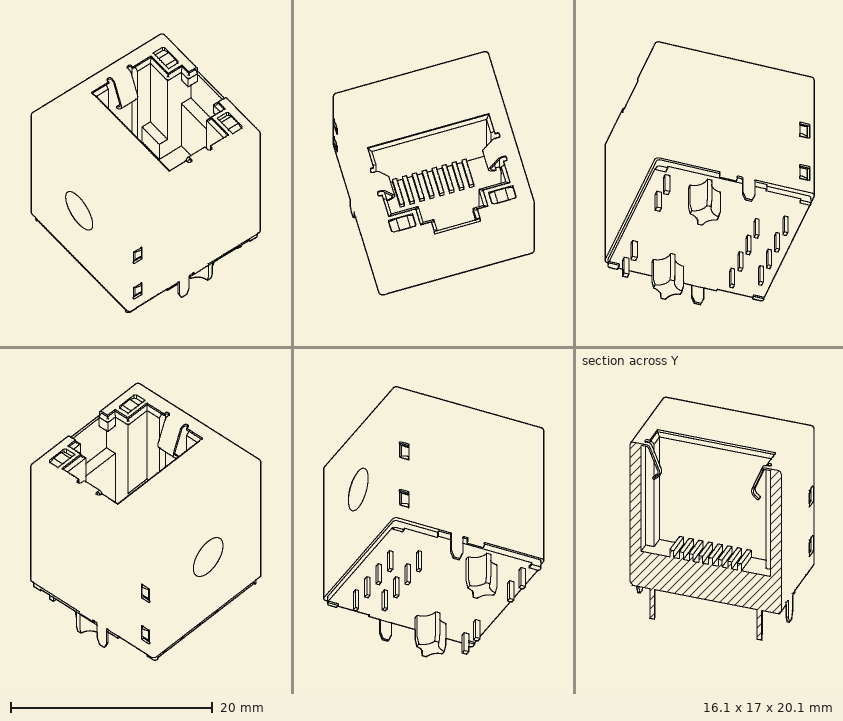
import cadquery as cq
import math


total_height = 20.07
shield_width = 16.05
shield_depth = 16.7
shield_bottom = 4.07
shield_edge_radius = 0.4
sheet = 0.25
half_width = shield_width / 2
half_depth = shield_depth / 2

bump_z = 12.36
bump_height = 0.26
bump_rim_radius = 2.19
bump_dome_radius = 2.07
bump_flat_radius = 1.36
bump_rim_rise = 0.06

base_bottom = 3.43
base_foot_bottom = 3.23
base_half_depth = half_depth - sheet
base_rear_half_width = half_width - sheet
base_front_half_width = 7.55
base_step_y = -3.35
base_corner_radius = 0.32
foot_inner_x = 7.15
foot_inner_y = 7.0

lead_in = 0.35
cavity_half_width = 5.92
cavity_front_y = -1.59
cavity_rear_y = 5.18
latch_half_width = 3.13
latch_rear_y = 6.9
notch_half_width = 2.03
notch_rear_y = 8.09
cavity_floor = 7.63
latch_chamber_floor = 14.45
latch_chamber_top = 18.26
rear_rim_top = 19.35
ledge_top = 10.04
ledge_front_y = 4.13

contact_count = 8
contact_pitch = 1.02
contact_width = 0.45
contact_rear_y = 1.15
contact_height = 0.8

spring_y = 1.73
spring_width = 2.05
relief_width = 0.48
relief_outer_x = 6.66
relief_corner_radius = 0.18
spring_fold_radius = 0.3
spring_lean = math.radians(22)
spring_slope_length = 2.6
spring_curl_radius = 0.7
spring_curl_exit = math.radians(50)
spring_end_length = 0.4
spring_pocket_length = 3.65
spring_pocket_outer_x = 6.82

window_inner_x = 3.93
window_outer_x = 6.42
window_front_y = 5.92
window_rear_y = 7.23
window_depth = 1.0
window_corner = 0.16
lens_flat_inner_x = 4.52
lens_flat_outer_x = 5.62
lens_recess = 0.16
lens_slope_drop = 0.36

snap_levels = (12.4, 6.66)
snap_height = 1.89
snap_front_y = -7.79
snap_rear_y = -6.72
snap_corner_radius = 0.16
barb_height = 1.57
barb_front_y = -7.59
barb_crest_y = -6.98
barb_crest_rise = 0.2
barb_front_rise = 0.12
barb_lead = 0.08
barb_end_slope = 0.25

tail_y = -1.4
tail_half_width = 0.62
tail_tip_half_width = 0.32
tail_taper_z = 2.03
tail_root_radius = 0.2
tongue_front_y = -0.18
tongue_rear_y = 1.63
tongue_bottom = 3.57
tongue_bend_radius = 0.35

pin_bottom = 1.28
signal_pin_width = 0.48
signal_pin_thickness = 0.36
signal_pin_pitch = 1.26
signal_row_front_y = -6.4
signal_row_rear_y = -3.83
light_pin_width = 0.5
light_pin_y = 6.65
light_pin_x = (3.77, 6.32)

peg_x = 5.68
peg_y = 2.47
peg_radius = 1.6
peg_arm_width = 0.46
peg_chamfer_height = 0.8
peg_chamfer_inset = 0.18


def block(x0, x1, y0, y1, z0, z1):
    """Box between two opposite corners."""
    return cq.Workplane("XY").box(x1 - x0, y1 - y0, z1 - z0, centered=False).translate((x0, y0, z0))


def both_sides(shape):
    """The +X shape together with its mirror image."""
    return shape.union(shape.mirror("YZ"))


def make_shield():
    shell = block(-half_width, half_width, -half_depth, half_depth, shield_bottom, total_height)
    return shell.edges("|Z or >Z").fillet(shield_edge_radius)


def make_bump():
    """Flat-topped dome with a narrow sloped rim, revolved about its Y axis."""
    dome_run = bump_dome_radius - bump_flat_radius
    dome_drop = bump_height - bump_rim_rise
    dome_arc = (dome_run**2 + dome_drop**2) / (2 * dome_drop)
    half_angle = math.asin(dome_run / dome_arc) / 2
    dome_middle = (
        bump_flat_radius + dome_arc * math.sin(half_angle),
        bump_height - dome_arc * (1 - math.cos(half_angle)),
    )
    profile = (
        cq.Workplane("XY")
        .moveTo(0, -sheet)
        .lineTo(0, bump_height)
        .lineTo(bump_flat_radius, bump_height)
        .threePointArc(dome_middle, (bump_dome_radius, bump_rim_rise))
        .lineTo(bump_rim_radius, 0)
        .lineTo(bump_rim_radius, -sheet)
        .close()
    )
    bump = profile.revolve(360, (0, 0, 0), (0, 1, 0))
    return bump.mirror("XZ").translate((0, -half_depth, bump_z))


def make_base():
    """Stepped plinth with four corner feet."""
    overlap_top = shield_bottom + sheet
    rear = block(
        -base_rear_half_width, base_rear_half_width, base_step_y, base_half_depth,
        base_foot_bottom, overlap_top,
    ).edges("|Z and >Y").fillet(base_corner_radius)
    front = block(
        -base_front_half_width, base_front_half_width, -base_half_depth, base_step_y,
        base_foot_bottom, overlap_top,
    ).edges("|Z and <Y").fillet(base_corner_radius)
    gap_x = block(
        -foot_inner_x, foot_inner_x, -half_depth, half_depth, base_foot_bottom, base_bottom
    )
    gap_y = block(
        -half_width, half_width, -foot_inner_y, foot_inner_y, base_foot_bottom, base_bottom
    )
    return rear.union(front).cut(gap_x).cut(gap_y)


def cavity_outline(grow, rear_y):
    """Stepped T outline of the plug opening, grown sideways, with its notch ending at rear_y."""
    right = [
        (cavity_half_width + grow, cavity_front_y - grow),
        (cavity_half_width + grow, cavity_rear_y + grow),
        (latch_half_width + grow, cavity_rear_y + grow),
        (latch_half_width + grow, latch_rear_y + grow),
        (notch_half_width + grow, latch_rear_y + grow),
        (notch_half_width + grow, rear_y),
    ]
    left = [(-x, y) for x, y in reversed(right)]
    return right + left


def make_cavity():
    """Empty space of the plug opening, its lead-in and the latch chamber."""
    sheet_bottom = total_height - sheet
    throat_top = sheet_bottom - lead_in
    open_rear_y = half_depth + 2 * lead_in
    sheet_hole = (
        cq.Workplane("XY").workplane(offset=sheet_bottom)
        .polyline(cavity_outline(lead_in, open_rear_y)).close().extrude(sheet)
    )
    funnel = (
        cq.Workplane("XY").workplane(offset=sheet_bottom)
        .polyline(cavity_outline(lead_in, open_rear_y)).close().extrude(-lead_in, taper=45)
    )
    rear_gap = block(
        -notch_half_width - lead_in, notch_half_width + lead_in, notch_rear_y, open_rear_y,
        rear_rim_top, total_height,
    )
    throat = (
        cq.Workplane("XY").workplane(offset=latch_chamber_floor)
        .polyline(cavity_outline(0, notch_rear_y)).close().extrude(throat_top - latch_chamber_floor)
    )
    chamber = block(
        -latch_half_width, latch_half_width, cavity_front_y, notch_rear_y,
        latch_chamber_floor, latch_chamber_top,
    )
    latch_well = block(
        -latch_half_width, latch_half_width, cavity_front_y, latch_rear_y,
        cavity_floor, latch_chamber_floor,
    )
    plug_well = block(
        -cavity_half_width, cavity_half_width, cavity_front_y, cavity_rear_y,
        cavity_floor, latch_chamber_floor,
    )
    ledge = both_sides(block(
        latch_half_width, cavity_half_width, ledge_front_y, cavity_rear_y, cavity_floor, ledge_top
    ))
    cavity = sheet_hole.union(funnel).union(throat).union(rear_gap).union(chamber)
    return cavity.union(latch_well).union(plug_well.cut(ledge))


def make_contacts():
    contacts = cq.Workplane("XY")
    for index in range(contact_count):
        x = (index - (contact_count - 1) / 2) * contact_pitch
        contacts = contacts.union(block(
            x - contact_width / 2, x + contact_width / 2, cavity_front_y - sheet, contact_rear_y,
            cavity_floor - sheet, cavity_floor + contact_height,
        ))
    return contacts


def make_spring_pockets():
    """Clearance behind each spring and the two relief slots beside it."""
    pocket = block(
        latch_half_width, spring_pocket_outer_x,
        spring_y - spring_pocket_length / 2, spring_y + spring_pocket_length / 2,
        cavity_floor, total_height - sheet,
    )
    for side in (-1, 1):
        slot_y = spring_y + side * (spring_width + relief_width) / 2
        slot = block(
            cavity_half_width, relief_outer_x, slot_y - relief_width / 2, slot_y + relief_width / 2,
            total_height - sheet, total_height,
        )
        pocket = pocket.union(slot.edges("|Z and >X").fillet(relief_corner_radius))
    return both_sides(pocket)


def make_springs():
    """Strip folded down from the sheet, sloping inward and curling back at its tip."""
    sheet_middle = total_height - sheet / 2
    edge_x = cavity_half_width + lead_in
    slope_top_x = edge_x - spring_fold_radius * math.cos(spring_lean)
    slope_top_z = sheet_middle - spring_fold_radius * (1 - math.sin(spring_lean))
    slope_end_x = slope_top_x - spring_slope_length * math.sin(spring_lean)
    slope_end_z = slope_top_z - spring_slope_length * math.cos(spring_lean)
    curl_x = slope_end_x + spring_curl_radius * (math.cos(spring_lean) - math.cos(spring_curl_exit))
    curl_z = slope_end_z - spring_curl_radius * (math.sin(spring_lean) + math.sin(spring_curl_exit))
    end_x = curl_x + spring_end_length * math.sin(spring_curl_exit)
    end_z = curl_z - spring_end_length * math.cos(spring_curl_exit)
    strip = (
        cq.Workplane("XZ", origin=(0, spring_y + spring_width / 2, 0))
        .moveTo(relief_outer_x, sheet_middle)
        .lineTo(edge_x, sheet_middle)
        .tangentArcPoint((slope_top_x, slope_top_z), relative=False)
        .lineTo(slope_end_x, slope_end_z)
        .tangentArcPoint((curl_x, curl_z), relative=False)
        .lineTo(end_x, end_z)
        .wire()
        .offset2D(sheet / 2)
        .extrude(spring_width)
    )
    return both_sides(strip)


def make_light_windows():
    window = block(
        window_inner_x, window_outer_x, window_front_y, window_rear_y,
        total_height - window_depth, total_height,
    )
    return both_sides(window.edges("|Z and >Y").chamfer(window_corner))


def make_lenses():
    lens_top = total_height - lens_recess
    lens_side = lens_top - lens_slope_drop
    lens_bottom = total_height - window_depth
    lens = (
        cq.Workplane("XZ", origin=(0, window_rear_y, 0))
        .polyline([
            (window_inner_x, lens_bottom),
            (window_outer_x, lens_bottom),
            (window_outer_x, lens_side),
            (lens_flat_outer_x, lens_top),
            (lens_flat_inner_x, lens_top),
            (window_inner_x, lens_side),
        ])
        .close()
        .extrude(window_rear_y - window_front_y)
    )
    return both_sides(lens)


def make_snap_windows():
    windows = cq.Workplane("XY")
    for z in snap_levels:
        window = block(
            half_width - sheet, half_width, snap_front_y, snap_rear_y,
            z - snap_height / 2, z + snap_height / 2,
        )
        windows = windows.union(window.edges("|X and <Y").fillet(snap_corner_radius))
    return both_sides(windows)


def make_barbs():
    """Wedges that fall toward the front and slope off at both ends."""
    root_x = half_width - sheet
    crest_x = root_x + barb_crest_rise
    half_height = barb_height / 2
    wedge = (
        cq.Workplane("XY", origin=(0, 0, -half_height))
        .polyline([
            (root_x, snap_rear_y),
            (crest_x, snap_rear_y),
            (crest_x, barb_crest_y),
            (root_x + barb_front_rise, barb_front_y + barb_lead),
            (root_x, barb_front_y),
        ])
        .close()
        .extrude(barb_height)
    )
    end_slopes = (
        cq.Workplane("XZ", origin=(0, snap_rear_y, 0))
        .polyline([
            (root_x, -half_height),
            (crest_x, barb_end_slope - half_height),
            (crest_x, half_height - barb_end_slope),
            (root_x, half_height),
        ])
        .close()
        .extrude(snap_rear_y - barb_front_y)
    )
    barb = wedge.intersect(end_slopes)
    barbs = cq.Workplane("XY")
    for z in snap_levels:
        barbs = barbs.union(barb.translate((0, 0, z)))
    return both_sides(barbs)


def make_tails():
    """Tapered ground tails hanging from the side sheets."""
    rear_y = tail_y + tail_half_width
    front_y = tail_y - tail_half_width
    root_z = shield_bottom - tail_root_radius
    root_sagitta = tail_root_radius * (1 - math.sqrt(0.5))
    tail = (
        cq.Workplane("YZ", origin=(half_width - sheet, 0, 0))
        .moveTo(front_y, shield_bottom + sheet)
        .lineTo(front_y, tail_taper_z)
        .lineTo(tail_y - tail_tip_half_width, pin_bottom)
        .lineTo(tail_y + tail_tip_half_width, pin_bottom)
        .lineTo(rear_y, tail_taper_z)
        .lineTo(rear_y, root_z)
        .threePointArc(
            (rear_y + root_sagitta, shield_bottom - root_sagitta),
            (rear_y + tail_root_radius, shield_bottom),
        )
        .lineTo(rear_y + tail_root_radius, shield_bottom + sheet)
        .close()
        .extrude(sheet)
    )
    return both_sides(tail)


def make_tongues():
    """Short side tongues of the shield, rounded where they fold under."""
    tongue = block(
        base_rear_half_width - sheet, half_width, tongue_front_y, tongue_rear_y,
        tongue_bottom, shield_bottom + sheet,
    )
    return both_sides(tongue.edges("|Y and >X and <Z").fillet(tongue_bend_radius))


def make_pin(x, y, width, thickness):
    return block(
        x - width / 2, x + width / 2, y - thickness / 2, y + thickness / 2, pin_bottom, shield_bottom
    )


def make_pins():
    pins = cq.Workplane("XY")
    for index in range(contact_count):
        x = (index - (contact_count - 1) / 2) * signal_pin_pitch
        y = signal_row_rear_y if index % 2 else signal_row_front_y
        pins = pins.union(make_pin(x, y, signal_pin_width, signal_pin_thickness))
    for x in light_pin_x:
        pins = pins.union(both_sides(make_pin(x, light_pin_y, light_pin_width, light_pin_width)))
    return pins


def make_pegs():
    """Round pegs with a tapered tip, scooped into a four-armed cross."""
    peg = (
        cq.Workplane("XZ")
        .polyline([
            (0, 0),
            (peg_radius - peg_chamfer_inset, 0),
            (peg_radius, peg_chamfer_height),
            (peg_radius, shield_bottom),
            (0, shield_bottom),
        ])
        .close()
        .revolve(360, (0, 0, 0), (0, 1, 0))
    )
    scoops = (
        cq.Workplane("XY")
        .rect(2 * peg_radius, 2 * peg_radius, forConstruction=True)
        .vertices()
        .circle(peg_radius - peg_arm_width / 2)
        .extrude(base_bottom)
    )
    return both_sides(peg.cut(scoops).translate((peg_x, peg_y, 0)))


body = make_shield().union(make_base()).union(make_bump())
body = body.cut(make_cavity()).cut(make_spring_pockets())
body = body.cut(make_light_windows()).cut(make_snap_windows())

for addition in (
    make_contacts(), make_springs(), make_lenses(), make_barbs(),
    make_tails(), make_tongues(), make_pins(), make_pegs(),
):
    body = body.union(addition)

result = body